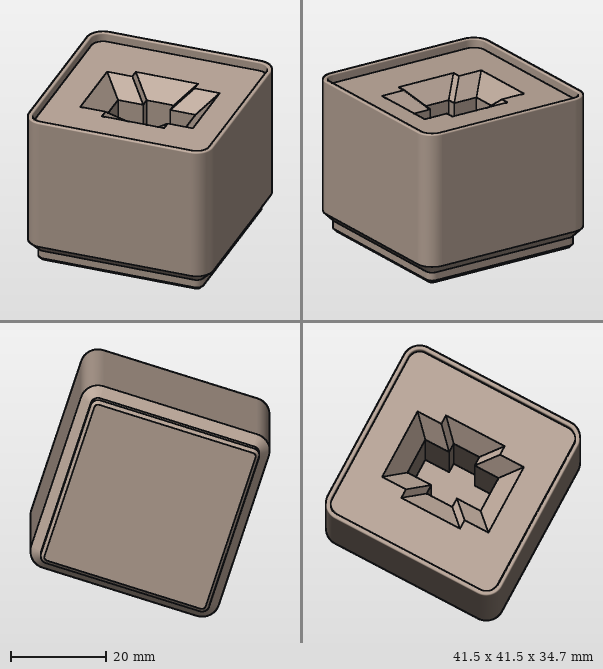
import cadquery as cq

SIDE = 41.5
HEIGHT = 34.7
CORNER_RADIUS = 3.75

FOOT_CHAMFER = 0.8
FOOT_WALL_HEIGHT = 1.8
SHOULDER = 2.15
FOOT_SIDE = SIDE - 2 * SHOULDER
FOOT_RADIUS = CORNER_RADIUS - SHOULDER
FOOT_TOP = FOOT_CHAMFER + FOOT_WALL_HEIGHT
BODY_BOTTOM = FOOT_TOP + SHOULDER

RIM_WIDTH = 1.05
RIM_FILLET = 0.3
RIM_HEIGHT = 2.0
DECK_Z = HEIGHT - RIM_HEIGHT

LONG_ARM = (25.3, 15.85)
SHORT_ARM = (14.0, 19.95)
LEAD_IN = 3.95
POCKET_FLOOR_Z = BODY_BOTTOM


def rounded_block(side, radius, bottom, top):
    """Square block with rounded vertical corners, centred on Z."""
    block = cq.Workplane("XY").workplane(offset=bottom).rect(side, side).extrude(top - bottom)
    return block.edges("|Z").fillet(radius)


def make_body():
    """Rounded block standing on a narrower, chamfered foot."""
    foot = rounded_block(FOOT_SIDE, FOOT_RADIUS, 0, BODY_BOTTOM)
    foot = foot.faces("<Z").edges().chamfer(FOOT_CHAMFER)
    block = rounded_block(SIDE, CORNER_RADIUS, FOOT_TOP, HEIGHT)
    block = block.faces("<Z").edges().chamfer(SHOULDER)
    return block.union(foot)


def cut_rim(body):
    """Sink the deck below a thin rim and round both top edges of the rim."""
    recess = rounded_block(SIDE - 2 * RIM_WIDTH, CORNER_RADIUS - RIM_WIDTH, DECK_Z, HEIGHT)
    return body.cut(recess).faces(">Z").edges().fillet(RIM_FILLET)


def pocket_arm(size_x, size_y):
    """One rectangular arm: a sloping mouth above a straight well."""
    well_x = size_x - 2 * LEAD_IN
    well_y = size_y - 2 * LEAD_IN
    well_top = DECK_Z - LEAD_IN
    mouth = (
        cq.Workplane("XY").workplane(offset=DECK_Z).rect(size_x, size_y)
        .workplane(offset=-LEAD_IN).rect(well_x, well_y)
        .loft(ruled=True)
    )
    well = (
        cq.Workplane("XY").workplane(offset=POCKET_FLOOR_Z)
        .rect(well_x, well_y).extrude(well_top - POCKET_FLOOR_Z)
    )
    return mouth.union(well)


result = cut_rim(make_body())
for arm in (LONG_ARM, SHORT_ARM):
    result = result.cut(pocket_arm(*arm))